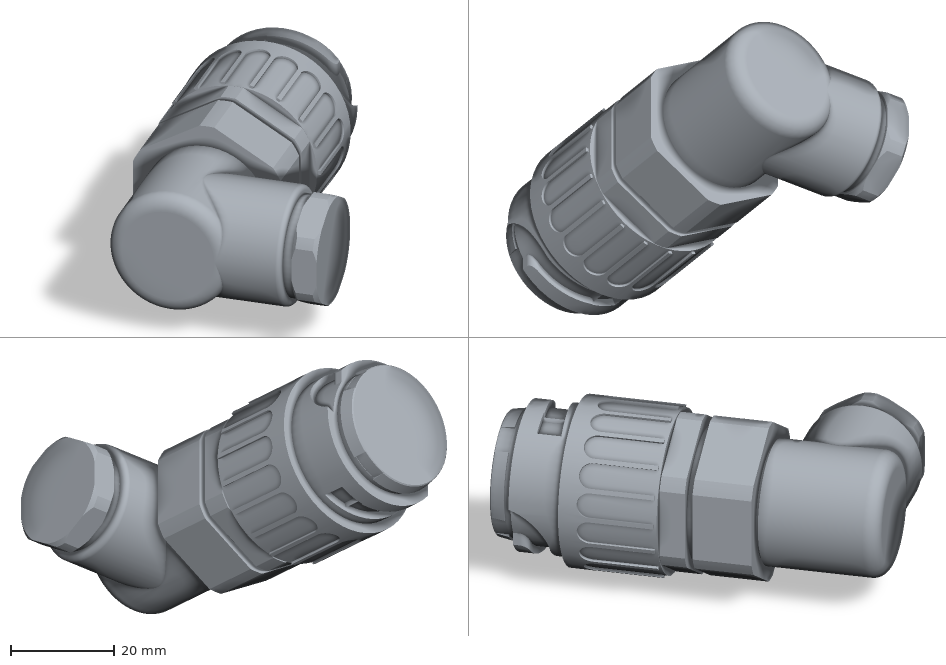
import cadquery as cq
import math


LENGTH = 77.7
WIDTH = 46.8
RING_DIA = 34.0

LIP_START = 74.8
SHELL_FRONT = 73.3
RING_FRONT = 62.9
RING_REAR = 43.3
NUT_FRONT = 43.05
NUT_REAR = 38.0
HOUSING_FRONT = 36.45
HOUSING_REAR = 24.6

ELBOW_DIA = 25.0
ELBOW_FILLET = 3.0
ELBOW_NECK_DIA = 23.1
ARM_DIA = 24.0
ELBOW_FRONT = ARM_DIA
ARM_Y = ARM_DIA / 2
ARM_END = 22.85
ARM_FILLET = 1.0

GLAND_NECK_DIA = 20.4
GLAND_START = 24.7
GLAND_END = WIDTH - RING_DIA / 2
GLAND_FLATS = 21.15
GLAND_CORNER_DIA = 23.15
GLAND_CHAMFER = 0.8

HEX_FLATS = 30.0
HEX_CORNER_DIA = 33.0
GROOVE_DIA = 27.0

FLUTE_COUNT = 18
FLUTE_DEPTH = 0.55
FLUTE_WIDTH = 5.0
FLUTE_FRONT = 59.2
FIRST_FLUTE_BEARING = 90
RIB_REAR = 43.8

SHELL_DIA = 30.0
SLOT_COUNT = 2
SLOT_FLOOR_DIA = 27.0
SLOT_WIDTH = 4.3
SLOT_SLOPE = 0.08
SLOT_END_BEARING = 121
REAR_WALL_Y = 65.2
ENTRY_BEARING = 25
ENTRY_NEAR_BEARING = 2.4
ENTRY_MIDDLE_BEARING = 30
ENTRY_FAR_X = 11.4
ENTRY_INNER_RADIUS = 1.7
ENTRY_BEND_MIDDLE = (2.0, 67.85)
TURN_BEARING = 45
TURN_X = SHELL_DIA / 2 * math.cos(math.radians(TURN_BEARING))
SLOT_MOUTH_Y = 67.6
POCKET_WALL_Y = 69.5
POCKET_X = -2.2
DETENT_CREST_Z = 14.0
DETENT_STEEP_FOOT_X = -3.2
DETENT_CREST_X = -2.65
DETENT_RAMP_FOOT_X = -1.4
DETENT_RAMP_MIDDLE = (-2.2, 13.6)

INSERT_DIA = 25.0
LIP_DIA = 25.95
LIP_GAP_DIA = 24.9
LIP_GAP_ANGLE = 26
LIP_GAP_BEARING = 123
LIP_COUNT = 4
INSERT_CHAMFER = 0.2

CLEARANCE = 0.8

ORIGIN = (0, 0, 0)
Y_DIR = (0, 1, 0)


def rod(diameter, rear, front):
    """Cylinder on the plug axis between two Y stations."""
    return cq.Workplane("XZ", origin=(0, rear, 0)).circle(diameter / 2).extrude(rear - front)


def arm_rod(diameter, start, end):
    """Cylinder on the cable arm axis between two X stations."""
    plane = cq.Workplane("YZ", origin=(start, ARM_Y, 0))
    return plane.circle(diameter / 2).extrude(end - start)


def turn(shape, angle):
    """Increase the bearing of a shape by the given angle."""
    return shape.rotate(ORIGIN, Y_DIR, -angle)


def ring_sector(inner_radius, outer_radius, rear, front, angle, end_bearing):
    """Rectangular ring section that ends at a bearing."""
    section = cq.Workplane("XY").moveTo(inner_radius, rear).lineTo(outer_radius, rear)
    section = section.lineTo(outer_radius, front).lineTo(inner_radius, front).close()
    return turn(section.revolve(angle, ORIGIN, Y_DIR), end_bearing)


def hexagon(plane, flats, length):
    """Hexagonal bar with two corners on the local Y axis of the plane."""
    bar = plane.polygon(6, flats / math.cos(math.pi / 6)).extrude(length)
    return bar.rotate(plane.plane.origin, plane.plane.origin + plane.plane.zDir, 30)


def rounded_hexagon(rear, front):
    """Nut section whose corners are turned down to the corner diameter."""
    plane = cq.Workplane("XZ", origin=(0, rear, 0))
    return hexagon(plane, HEX_FLATS, rear - front).intersect(rod(HEX_CORNER_DIA, rear, front))


def make_elbow():
    barrel = rod(ELBOW_DIA, 0, ELBOW_FRONT).faces("<Y").edges().fillet(ELBOW_FILLET)
    arm = arm_rod(ARM_DIA, 0, ARM_END).faces(">X").edges().fillet(ARM_FILLET)
    return barrel.union(arm).union(rod(ELBOW_NECK_DIA, ELBOW_FRONT, HOUSING_REAR))


def make_gland():
    plane = cq.Workplane("YZ", origin=(GLAND_START, ARM_Y, 0))
    blank = arm_rod(GLAND_CORNER_DIA, GLAND_START, GLAND_END)
    blank = blank.faces("<X or >X").edges().chamfer(GLAND_CHAMFER)
    nut = hexagon(plane, GLAND_FLATS, GLAND_END - GLAND_START).intersect(blank)
    return nut.union(arm_rod(GLAND_NECK_DIA, ARM_END, GLAND_START))


def make_housing():
    body = rounded_hexagon(HOUSING_REAR, HOUSING_FRONT)
    body = body.union(rounded_hexagon(NUT_REAR, NUT_FRONT))
    return body.union(rod(GROOVE_DIA, HOUSING_FRONT, RING_REAR))


def make_coupling_ring():
    floor_dia = RING_DIA - 2 * FLUTE_DEPTH
    ring = rod(RING_DIA, RIB_REAR, RING_FRONT)
    half = FLUTE_WIDTH / 2
    arc_start = FLUTE_FRONT - half
    flute = cq.Workplane("XY").moveTo(-half, RIB_REAR - CLEARANCE).lineTo(-half, arc_start)
    flute = flute.threePointArc((0, FLUTE_FRONT), (half, arc_start))
    flute = flute.lineTo(half, RIB_REAR - CLEARANCE).close().extrude(RING_DIA)
    flute = flute.cut(rod(floor_dia, RING_REAR - CLEARANCE, RING_FRONT))
    for i in range(FLUTE_COUNT):
        bearing = FIRST_FLUTE_BEARING + i * 360 / FLUTE_COUNT
        ring = ring.cut(turn(flute, bearing - 90))
    return ring.union(rod(floor_dia, RING_REAR, RIB_REAR))


def rear_wall_y(x):
    """Y of the sloping rear slot wall at a given X."""
    return REAR_WALL_Y + SLOT_SLOPE * x


def make_slot_entry():
    """Mouth of a slot, curving from the shell front into the sloping run."""
    def across(bearing):
        return -SHELL_DIA / 2 * math.sin(math.radians(bearing - ENTRY_BEARING))

    near = across(ENTRY_NEAR_BEARING)
    far = across(ENTRY_MIDDLE_BEARING)
    outline = (
        cq.Workplane("XY")
        .moveTo(near, SHELL_FRONT + CLEARANCE)
        .lineTo(near, SHELL_FRONT)
        .threePointArc(ENTRY_BEND_MIDDLE, (across(TURN_BEARING), rear_wall_y(TURN_X)))
        .lineTo(far, rear_wall_y(TURN_X) + SLOT_WIDTH)
        .lineTo(far, SHELL_FRONT + CLEARANCE)
        .close()
    )
    mouth = outline.extrude(SHELL_DIA)
    return turn(mouth, ENTRY_BEARING - 90).cut(rod(SLOT_FLOOR_DIA, RING_FRONT, LENGTH))


def make_slot_run():
    """Sloping run of a slot, from its closed radial end wall to inside the mouth."""
    left = -SHELL_DIA / 2
    corner_x = ENTRY_FAR_X - ENTRY_INNER_RADIUS
    corner_y = rear_wall_y(corner_x) + SLOT_WIDTH
    mouth_x = SHELL_DIA / 2 * math.cos(math.radians(ENTRY_MIDDLE_BEARING))
    outline = (
        cq.Workplane("XY")
        .moveTo(left, rear_wall_y(left))
        .lineTo(TURN_X, rear_wall_y(TURN_X))
        .lineTo(mouth_x, SLOT_MOUTH_Y)
        .lineTo(mouth_x, SHELL_FRONT + CLEARANCE)
        .lineTo(ENTRY_FAR_X, SHELL_FRONT + CLEARANCE)
        .lineTo(ENTRY_FAR_X, corner_y + ENTRY_INNER_RADIUS)
        .radiusArc((corner_x, corner_y), ENTRY_INNER_RADIUS)
        .lineTo(POCKET_X, rear_wall_y(POCKET_X) + SLOT_WIDTH)
        .lineTo(POCKET_X, POCKET_WALL_Y)
        .lineTo(left, POCKET_WALL_Y)
        .close()
    )
    sector = ring_sector(
        SLOT_FLOOR_DIA / 2, SHELL_DIA / 2 + CLEARANCE, RING_FRONT, SHELL_FRONT + CLEARANCE,
        SLOT_END_BEARING, SLOT_END_BEARING)
    return outline.extrude(SHELL_DIA).intersect(sector)


def make_detent():
    """Ridge across the slot floor before the closed end, with a hollow ramp."""
    foot = SLOT_FLOOR_DIA / 2 - CLEARANCE
    ramp_foot = math.sqrt((SLOT_FLOOR_DIA / 2) ** 2 - DETENT_RAMP_FOOT_X ** 2)
    section = (
        cq.Workplane("XZ", origin=(0, RING_FRONT, 0))
        .moveTo(DETENT_STEEP_FOOT_X, foot)
        .lineTo(DETENT_CREST_X, DETENT_CREST_Z)
        .threePointArc(DETENT_RAMP_MIDDLE, (DETENT_RAMP_FOOT_X, ramp_foot))
        .lineTo(DETENT_RAMP_FOOT_X, foot)
        .close()
    )
    return section.extrude(RING_FRONT - SHELL_FRONT)


def make_shell():
    shell = rod(SHELL_DIA, RING_FRONT, SHELL_FRONT)
    slot = make_slot_entry().union(make_slot_run()).cut(make_detent())
    for i in range(SLOT_COUNT):
        shell = shell.cut(turn(slot, i * 360 / SLOT_COUNT))
    return shell


def make_insert():
    tip = cq.Workplane("XY").moveTo(0, LIP_START).lineTo(LIP_DIA / 2, LIP_START)
    tip = tip.lineTo(INSERT_DIA / 2, LENGTH - INSERT_CHAMFER)
    tip = tip.lineTo(INSERT_DIA / 2 - INSERT_CHAMFER, LENGTH).lineTo(0, LENGTH).close()
    tip = tip.revolve(360, ORIGIN, Y_DIR)
    for i in range(LIP_COUNT):
        end_bearing = LIP_GAP_BEARING + LIP_GAP_ANGLE / 2 + i * 360 / LIP_COUNT
        tip = tip.cut(ring_sector(
            LIP_GAP_DIA / 2, LIP_DIA / 2 + CLEARANCE, LIP_START, LENGTH,
            LIP_GAP_ANGLE, end_bearing))
    return tip.union(rod(INSERT_DIA, SHELL_FRONT, LIP_START))


result = make_elbow()
for section in (make_gland, make_housing, make_coupling_ring, make_shell, make_insert):
    result = result.union(section())